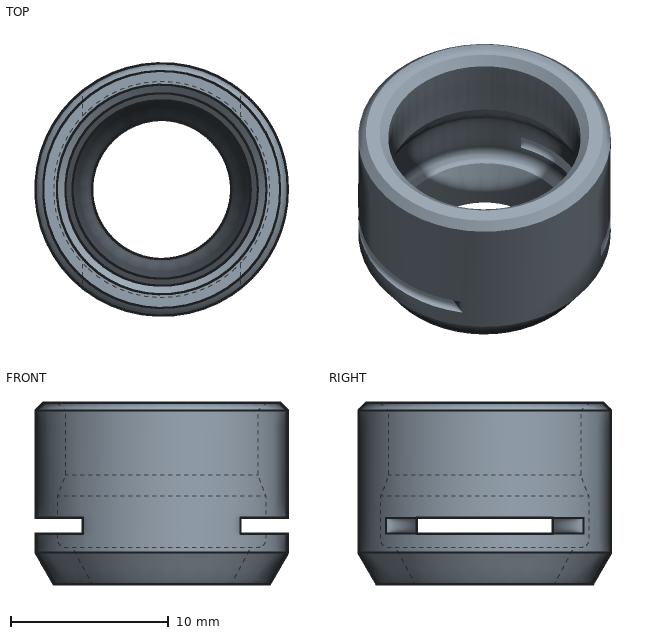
import cadquery as cq
import math

outer_radius = 8.0
height = 11.5
rim_chamfer = 0.5
nose_height = 2.0
nose_angle = 30.0
nose_radius = outer_radius - nose_height * math.tan(math.radians(nose_angle))

bore_radius = 12.2 / 2
bore_chamfer_width = 0.55
bore_chamfer_height = 0.5
bore_bottom = 6.91
chamber_radius = 13.2 / 2
chamber_top = 5.58
floor_height = 2.34
floor_fillet = 0.5
fillet_center_radius = chamber_radius - floor_fillet
fillet_center_height = floor_height + floor_fillet
fillet_diagonal = floor_fillet * math.sqrt(0.5)

seat_top_radius = 5.65
hole_radius = 8.8 / 2

slot_bottom = 3.22
slot_height = 1.0
slot_inner_x = 5.0


def make_sleeve():
    """Revolve the wall section, given as radius and height, about Z."""
    return (
        cq.Workplane("XZ")
        .moveTo(hole_radius, 0)
        .lineTo(nose_radius, 0)
        .lineTo(outer_radius, nose_height)
        .lineTo(outer_radius, height - rim_chamfer)
        .lineTo(outer_radius - rim_chamfer, height)
        .lineTo(bore_radius + bore_chamfer_width, height)
        .lineTo(bore_radius, height - bore_chamfer_height)
        .lineTo(bore_radius, bore_bottom)
        .lineTo(chamber_radius, chamber_top)
        .lineTo(chamber_radius, fillet_center_height)
        .threePointArc(
            (fillet_center_radius + fillet_diagonal, fillet_center_height - fillet_diagonal),
            (fillet_center_radius, floor_height),
        )
        .lineTo(seat_top_radius, floor_height)
        .close()
        .revolve(360, (0, 0, 0), (0, 1, 0))
    )


def make_slot(side):
    """Straight-ended cut through the wall on the +X or -X side."""
    depth = outer_radius - slot_inner_x
    return cq.Workplane("XY").box(depth, 2 * outer_radius, slot_height).translate(
        (side * (slot_inner_x + depth / 2), 0, slot_bottom + slot_height / 2)
    )


result = make_sleeve()
for side in (-1, 1):
    result = result.cut(make_slot(side))